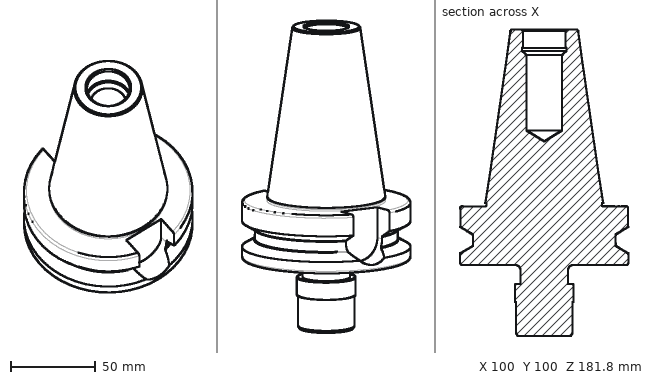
import cadquery as cq
import math


taper_ratio = 7 / 24
gauge_radius = 69.85 / 2
taper_top_z = 101.8
taper_base_z = -1.0
taper_tip_chamfer_radial = 0.6
taper_tip_chamfer_axial = 1.0
relief_radius = 34.4
relief_top_fillet = 0.6
relief_bottom_fillet = 0.8

flange_radius = 50.0
flange_top_z = -3.0
flange_bottom_z = -38.0
flange_edge_radius = 1.5
groove_center_z = -23.15
groove_root_radius = 42.4
groove_root_width = 6.7
groove_root_fillet = 0.6
groove_flank_angle = math.radians(30)

neck_radius = 14.2
neck_fillet = 3.0
collar_radius = 17.5
collar_top_z = -49.0
collar_bottom_z = -59.8
collar_chamfer = 0.4
pilot_radius = 16.8
pilot_bottom_z = -80.0
pilot_chamfer_radial = 1.0
pilot_chamfer_axial = 1.5

slot_width = 25.7
slot_floor_x = 35.4
slot_bottom_z = -34.1

bore_radius = 12.6
bore_depth = 11.0
bore_mouth_chamfer = 1.0
undercut_radius = 13.0
undercut_width = 1.8
pilot_hole_radius = 10.5
pilot_hole_depth = 60.0
countersink_half_angle = math.radians(45)
drill_half_angle = math.radians(59)


def taper_radius(z):
    """Radius of the taper at height z."""
    return gauge_radius - z * taper_ratio / 2


def make_body():
    """Revolve the outer profile about Z."""
    tip_chamfer_z = taper_top_z - taper_tip_chamfer_axial
    groove_half_root = groove_root_width / 2
    groove_depth = flange_radius - groove_root_radius
    groove_half_mouth = groove_half_root + groove_depth * math.tan(groove_flank_angle)
    arc_mid = 1 - math.sqrt(0.5)
    rim_inner = flange_radius - flange_edge_radius
    rim_mid = flange_radius - flange_edge_radius * arc_mid
    edge_mid = flange_edge_radius * arc_mid
    relief_top_mid = relief_top_fillet * arc_mid
    relief_bottom_mid = relief_bottom_fillet * arc_mid
    neck_arc_mid = neck_fillet * arc_mid

    profile = (
        cq.Workplane("XZ")
        .moveTo(0, taper_top_z)
        .lineTo(taper_radius(taper_top_z) - taper_tip_chamfer_radial, taper_top_z)
        .lineTo(taper_radius(tip_chamfer_z), tip_chamfer_z)
        .lineTo(taper_radius(taper_base_z), taper_base_z)
        .lineTo(relief_radius + relief_top_fillet, taper_base_z)
        .threePointArc(
            (relief_radius + relief_top_mid, taper_base_z - relief_top_mid),
            (relief_radius, taper_base_z - relief_top_fillet),
        )
        .lineTo(relief_radius, flange_top_z + relief_bottom_fillet)
        .threePointArc(
            (relief_radius + relief_bottom_mid, flange_top_z + relief_bottom_mid),
            (relief_radius + relief_bottom_fillet, flange_top_z),
        )
        .lineTo(rim_inner, flange_top_z)
        .threePointArc((rim_mid, flange_top_z - edge_mid), (flange_radius, flange_top_z - flange_edge_radius))
        .lineTo(flange_radius, groove_center_z + groove_half_mouth)
        .lineTo(groove_root_radius, groove_center_z + groove_half_root)
        .lineTo(groove_root_radius, groove_center_z - groove_half_root)
        .lineTo(flange_radius, groove_center_z - groove_half_mouth)
        .lineTo(flange_radius, flange_bottom_z + flange_edge_radius)
        .threePointArc((rim_mid, flange_bottom_z + edge_mid), (rim_inner, flange_bottom_z))
        .lineTo(neck_radius + neck_fillet, flange_bottom_z)
        .threePointArc(
            (neck_radius + neck_arc_mid, flange_bottom_z - neck_arc_mid),
            (neck_radius, flange_bottom_z - neck_fillet),
        )
        .lineTo(neck_radius, collar_top_z)
        .lineTo(collar_radius - collar_chamfer, collar_top_z)
        .lineTo(collar_radius, collar_top_z - collar_chamfer)
        .lineTo(collar_radius, collar_bottom_z)
        .lineTo(pilot_radius, collar_bottom_z)
        .lineTo(pilot_radius, pilot_bottom_z + pilot_chamfer_axial)
        .lineTo(pilot_radius - pilot_chamfer_radial, pilot_bottom_z)
        .lineTo(0, pilot_bottom_z)
        .close()
    )
    body = profile.revolve(360, (0, 0, 0), (0, 1, 0))
    axis_box_half = 1.0
    root_edges = cq.selectors.BoxSelector(
        (-axis_box_half, -axis_box_half, groove_center_z - groove_root_width),
        (axis_box_half, axis_box_half, groove_center_z + groove_root_width),
    )
    return body.edges("%CIRCLE").edges(root_edges).fillet(groove_root_fillet)


def make_bore():
    """Blind bore with a chamfered mouth, an undercut, a countersink and a drilled pilot hole."""
    bore_bottom_z = taper_top_z - bore_depth
    undercut_bottom_z = bore_bottom_z - undercut_width
    countersink_depth = (undercut_radius - pilot_hole_radius) / math.tan(countersink_half_angle)
    pilot_hole_bottom_z = taper_top_z - pilot_hole_depth
    drill_tip_z = pilot_hole_bottom_z - pilot_hole_radius / math.tan(drill_half_angle)
    profile = (
        cq.Workplane("XZ")
        .moveTo(0, taper_top_z)
        .lineTo(bore_radius + bore_mouth_chamfer, taper_top_z)
        .lineTo(bore_radius, taper_top_z - bore_mouth_chamfer)
        .lineTo(bore_radius, bore_bottom_z)
        .lineTo(undercut_radius, bore_bottom_z)
        .lineTo(undercut_radius, undercut_bottom_z)
        .lineTo(pilot_hole_radius, undercut_bottom_z - countersink_depth)
        .lineTo(pilot_hole_radius, pilot_hole_bottom_z)
        .lineTo(0, drill_tip_z)
        .close()
    )
    return profile.revolve(360, (0, 0, 0), (0, 1, 0))


def make_slot(side):
    """Round-bottomed drive slot on the +X (side = 1) or -X (side = -1) rim."""
    half_width = slot_width / 2
    arc_center_z = slot_bottom_z + half_width
    return (
        cq.Workplane("YZ", origin=(side * slot_floor_x, 0, 0))
        .moveTo(-half_width, flange_top_z)
        .lineTo(-half_width, arc_center_z)
        .threePointArc((0, slot_bottom_z), (half_width, arc_center_z))
        .lineTo(half_width, flange_top_z)
        .close()
        .extrude(side * flange_radius)
    )


result = make_body().cut(make_bore())
for side in (-1, 1):
    result = result.cut(make_slot(side))